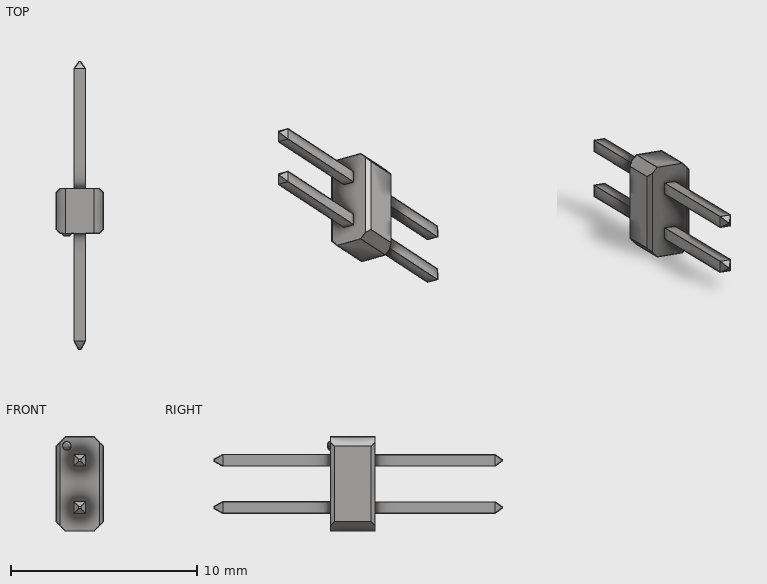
import cadquery as cq
import math

TOTAL_LENGTH = 15.48
PITCH = 2.54
PIN_COUNT = 2

HOUSING_WIDTH = PITCH
HOUSING_HEIGHT = PIN_COUNT * PITCH
HOUSING_FRONT = -1.5
HOUSING_DEPTH = 2.41
HOUSING_BACK = HOUSING_FRONT + HOUSING_DEPTH
CORNER_CHAMFER = 0.51
SIDE_CHAMFER = 0.22

FRONT_PIN_WIDTH = 0.63
FRONT_TIP_LENGTH = 0.46
FRONT_END_WIDTH = 0.12
BACK_PIN_WIDTH = 0.62
BACK_TIP_LENGTH = 0.39
BACK_END_WIDTH = 0.06

DOT_RADIUS = 0.23
DOT_HEIGHT = 0.14
DOT_ROUNDING = 0.138
DOT_X = -0.7
DOT_Z = 2.05

PIN_HEIGHTS = [(i - (PIN_COUNT - 1) / 2) * PITCH for i in range(PIN_COUNT)]


def plane_facing_back(y):
    """Plane at the given Y whose normal points along +Y and whose local y is -Z."""
    return cq.Workplane(cq.Plane(origin=(0, y, 0), xDir=(1, 0, 0), normal=(0, 1, 0)))


def make_pin(z, seat_y, end_y, width, tip_length, end_width):
    """Square pin from its seat on the housing to its tapered tip at end_y."""
    direction = math.copysign(1, end_y - seat_y)
    shoulder_y = end_y - direction * tip_length
    shaft = (
        plane_facing_back(seat_y)
        .center(0, -z)
        .rect(width, width)
        .extrude(shoulder_y - seat_y)
    )
    tip = (
        plane_facing_back(shoulder_y)
        .center(0, -z)
        .rect(width, width)
        .workplane(offset=direction * tip_length)
        .rect(end_width, end_width)
        .loft(ruled=True)
    )
    return shaft.union(tip)


def make_front_pin(z):
    return make_pin(
        z, HOUSING_FRONT, -TOTAL_LENGTH / 2, FRONT_PIN_WIDTH, FRONT_TIP_LENGTH, FRONT_END_WIDTH
    )


def make_back_pin(z):
    return make_pin(
        z, HOUSING_BACK, TOTAL_LENGTH / 2, BACK_PIN_WIDTH, BACK_TIP_LENGTH, BACK_END_WIDTH
    )


def make_dot():
    """Low round button standing on the front face beside the first pin."""
    return (
        plane_facing_back(HOUSING_FRONT - DOT_HEIGHT)
        .center(DOT_X, -DOT_Z)
        .circle(DOT_RADIUS)
        .extrude(DOT_HEIGHT)
        .faces("<Y")
        .edges()
        .fillet(DOT_ROUNDING)
    )


def make_housing():
    """Block with chamfered long corners, bevelled sides and a pin-one dot."""
    block = (
        plane_facing_back(HOUSING_FRONT)
        .rect(HOUSING_WIDTH, HOUSING_HEIGHT)
        .extrude(HOUSING_DEPTH)
        .edges("|Y")
        .chamfer(CORNER_CHAMFER)
    )
    bevelled_outline = (
        cq.Workplane("XY", origin=(0, (HOUSING_FRONT + HOUSING_BACK) / 2, -HOUSING_HEIGHT / 2))
        .rect(HOUSING_WIDTH, HOUSING_DEPTH)
        .extrude(HOUSING_HEIGHT)
        .edges("|Z")
        .chamfer(SIDE_CHAMFER)
    )
    return block.intersect(bevelled_outline).union(make_dot())


housing = make_housing()
front_pins = [make_front_pin(z) for z in PIN_HEIGHTS]
back_pins = [make_back_pin(z) for z in PIN_HEIGHTS]

result = cq.Compound.makeCompound([housing.val(), *[pin.val() for pin in front_pins + back_pins]])